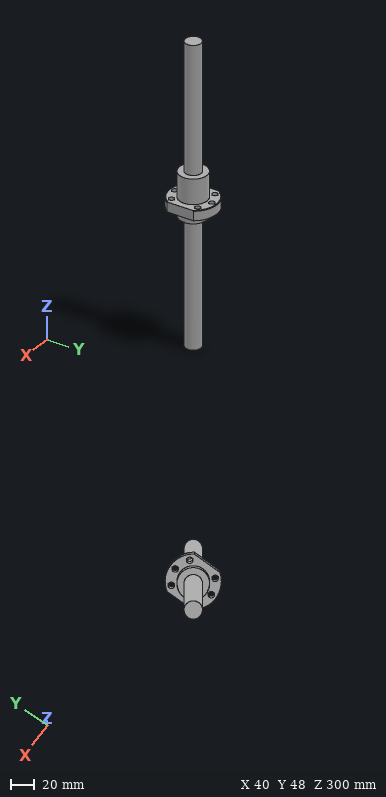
import cadquery as cq

shaft_length = 300
shaft_diameter = 16.0

nut_length = 44.0
nut_diameter = 28.0
flange_diameter = 48
flange_width = 40.0
flange_thickness = 10.0
flange_chamfer = 0.5
lower_collar_length = 9

bolt_hole_diameter = 5.5
bolt_circle_radius = 19.0
bolt_hole_angles = [45, 90, 135, 225, 270, 315]

nut_bottom = -nut_length / 2
flange_bottom = nut_bottom + lower_collar_length


def cylinder(diameter, height, bottom):
    return cq.Workplane("XY").workplane(offset=bottom).circle(diameter / 2).extrude(height)


def make_shaft():
    return cylinder(shaft_diameter, shaft_length, -shaft_length / 2)


def make_flange():
    disc = cylinder(flange_diameter, flange_thickness, flange_bottom)
    disc = disc.faces(">Z").edges().chamfer(flange_chamfer)
    flats = (
        cq.Workplane("XY")
        .workplane(offset=flange_bottom)
        .rect(flange_width, flange_diameter)
        .extrude(flange_thickness)
    )
    return disc.intersect(flats)


def make_bolt_hole(angle):
    hole = cylinder(bolt_hole_diameter, flange_thickness, flange_bottom)
    return hole.translate((bolt_circle_radius, 0, 0)).rotate((0, 0, 0), (0, 0, 1), angle)


def make_nut():
    nut = cylinder(nut_diameter, nut_length, nut_bottom).union(make_flange())
    for angle in bolt_hole_angles:
        nut = nut.cut(make_bolt_hole(angle))
    bore = cylinder(shaft_diameter, nut_length, nut_bottom)
    return nut.cut(bore)


shaft = make_shaft()
nut = make_nut()
result = cq.Compound.makeCompound([shaft.val(), *nut.solids().vals()])